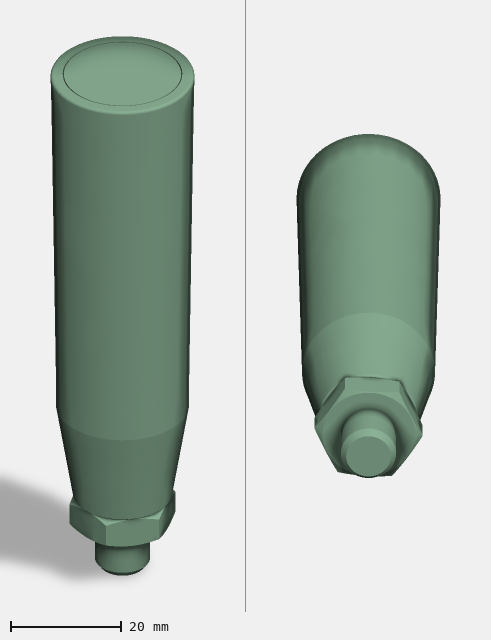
import cadquery as cq
import math

total_height = 105.0

stud_diameter = 10.0
stud_tip_diameter = 8.1
stud_tip_height = 1.3

nut_bottom = 9.0
nut_height = 5.9
nut_across_flats = 17.0
nut_face_diameter = 16.7
nut_chamfer_angle = 30.0

grip_base_diameter = 17.3
grip_heel_diameter = 18.0
grip_waist_diameter = 24.0
grip_top_diameter = 26.0
grip_waist_z = 34.1
top_edge_radius = 0.5

groove_outer_diameter = 21.6
groove_inner_diameter = 21.2
groove_depth = 0.4

nut_top = nut_bottom + nut_height
heel_height = (grip_heel_diameter - grip_base_diameter) / 2


def make_stud():
    """Plain pin with a tapered tip, reaching up to the nut's top face."""
    profile = [
        (0, 0),
        (stud_tip_diameter / 2, 0),
        (stud_diameter / 2, stud_tip_height),
        (stud_diameter / 2, nut_top),
        (0, nut_top),
    ]
    return cq.Workplane("XZ").polyline(profile).close().revolve(360, (0, 0), (0, 1))


def make_nut():
    """Hexagon whose corners are cut by a cone at both ends."""
    across_corners = nut_across_flats / math.cos(math.radians(30))
    chamfer_width = (across_corners - nut_face_diameter) / 2
    corner_drop = chamfer_width * math.tan(math.radians(nut_chamfer_angle))
    hexagon = (
        cq.Workplane("XY")
        .workplane(offset=nut_bottom)
        .polygon(6, across_corners)
        .extrude(nut_height)
    )
    envelope_profile = [
        (0, nut_bottom),
        (nut_face_diameter / 2, nut_bottom),
        (across_corners / 2, nut_bottom + corner_drop),
        (across_corners / 2, nut_top - corner_drop),
        (nut_face_diameter / 2, nut_top),
        (0, nut_top),
    ]
    envelope = cq.Workplane("XZ").polyline(envelope_profile).close().revolve(360, (0, 0), (0, 1))
    return hexagon.intersect(envelope)


def make_grip():
    """Turned grip: beveled heel, steep lower cone, slender upper cone, rounded top edge."""
    profile = [
        (0, nut_top),
        (grip_base_diameter / 2, nut_top),
        (grip_heel_diameter / 2, nut_top + heel_height),
        (grip_waist_diameter / 2, grip_waist_z),
        (grip_top_diameter / 2, total_height),
        (0, total_height),
    ]
    grip = cq.Workplane("XZ").polyline(profile).close().revolve(360, (0, 0), (0, 1))
    return grip.faces(">Z").edges().fillet(top_edge_radius)


def make_cap_groove():
    """Thin ring removed from the top face."""
    return (
        cq.Workplane("XY")
        .workplane(offset=total_height - groove_depth)
        .circle(groove_outer_diameter / 2)
        .circle(groove_inner_diameter / 2)
        .extrude(groove_depth)
    )


result = make_stud().union(make_nut()).union(make_grip()).cut(make_cap_groove())